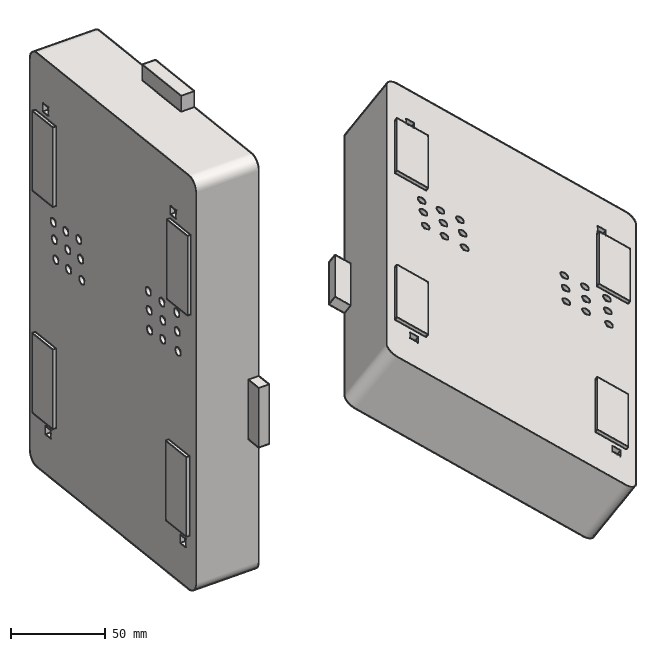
import cadquery as cq

BOX_WIDTH = 160.0
BOX_DEPTH = 40.0
BOX_HEIGHT = 260.0
CORNER_RADIUS = 7.0
WALL = 3.0
FRONT_Y = -BOX_DEPTH / 2
BACK_Y = BOX_DEPTH / 2

TAB_REACH = 10.0
TAB_LENGTH = 37.5
TOP_TAB_X = -0.7
TOP_TAB_DEPTH = 8.5
LEFT_TAB_LENGTH = 40.0
SIDE_TAB_Z = -25.0
LEFT_TAB_DEPTH = 6.0
RIGHT_TAB_DEPTH = 6.7

PAD_WIDTH = 20.0
PAD_HEIGHT = 50.0
PAD_THICKNESS = 2.0
LEFT_PAD_X = -64.7
UPPER_RIGHT_PAD_X = 64.8
LOWER_RIGHT_PAD_X = 63.7
UPPER_PAD_Z = 68.5
LOWER_PAD_Z = -71.0
PAD_CENTRES = [
    (LEFT_PAD_X, UPPER_PAD_Z),
    (UPPER_RIGHT_PAD_X, UPPER_PAD_Z),
    (LEFT_PAD_X, LOWER_PAD_Z),
    (LOWER_RIGHT_PAD_X, LOWER_PAD_Z),
]

SQUARE_HOLE_SIDE = 5.25
UPPER_SQUARE_Z = 98.8
LOWER_SQUARE_Z = -102.6
SQUARE_HOLE_CENTRES = [
    (-64.8, UPPER_SQUARE_Z),
    (57.9, UPPER_SQUARE_Z),
    (-62.3, LOWER_SQUARE_Z),
    (67.4, LOWER_SQUARE_Z),
]

VENT_DIAMETER = 5.0
LEFT_VENT_CENTRES = [
    (-57.5, 31.8), (-45.4, 32.4), (-32.9, 33.9),
    (-56.3, 21.5), (-43.5, 21.9), (-31.2, 22.5),
    (-54.9, 9.6), (-42.8, 9.9), (-29.9, 9.9),
]
RIGHT_VENT_CENTRES = [
    (33.9, 36.5), (47.1, 36.7), (61.3, 37.5),
    (34.8, 25.1), (47.9, 25.6), (61.8, 26.0),
    (35.2, 12.8), (47.9, 13.8), (62.6, 13.9),
]


def box_between(x_range, y_range, z_range):
    """Rectangular block spanning the given (low, high) ranges."""
    size_x = x_range[1] - x_range[0]
    size_y = y_range[1] - y_range[0]
    size_z = z_range[1] - z_range[0]
    block = cq.Workplane("XY").box(size_x, size_y, size_z, centered=False)
    return block.translate((x_range[0], y_range[0], z_range[0]))


def span(centre, length):
    """(low, high) range of the given length around a centre."""
    return (centre - length / 2, centre + length / 2)


def front_plane(y):
    """Sketch plane at the given Y whose local axes are X and Z and whose normal is -Y."""
    return cq.Workplane("XZ", origin=(0, y, 0))


def make_tray():
    """Rounded box hollowed from the back, leaving an even wall and front face."""
    outer = cq.Workplane("XY").box(BOX_WIDTH, BOX_DEPTH, BOX_HEIGHT)
    outer = outer.edges("|Y").fillet(CORNER_RADIUS)
    return outer.faces(">Y").shell(-WALL)


def make_tabs():
    """Top, left and right tabs, each standing on the outside of its wall."""
    half_width = BOX_WIDTH / 2
    half_height = BOX_HEIGHT / 2
    top = box_between(
        span(TOP_TAB_X, TAB_LENGTH),
        (BACK_Y - TOP_TAB_DEPTH, BACK_Y),
        (half_height, half_height + TAB_REACH),
    )
    left = box_between(
        (-half_width - TAB_REACH, -half_width),
        (BACK_Y - LEFT_TAB_DEPTH, BACK_Y),
        span(SIDE_TAB_Z, LEFT_TAB_LENGTH),
    )
    right = box_between(
        (half_width, half_width + TAB_REACH),
        (BACK_Y - RIGHT_TAB_DEPTH, BACK_Y),
        span(SIDE_TAB_Z, TAB_LENGTH),
    )
    return [top, left, right]


def make_pads():
    """Thin rectangular pads standing proud of the front face."""
    pads = front_plane(FRONT_Y).pushPoints(PAD_CENTRES)
    return pads.rect(PAD_WIDTH, PAD_HEIGHT).extrude(PAD_THICKNESS)


def make_square_holes():
    """Square cutters through the front face."""
    cutters = front_plane(FRONT_Y + WALL).pushPoints(SQUARE_HOLE_CENTRES)
    return cutters.rect(SQUARE_HOLE_SIDE, SQUARE_HOLE_SIDE).extrude(WALL)


def make_vents():
    """Round cutters through the front face."""
    cutters = front_plane(FRONT_Y + WALL).pushPoints(LEFT_VENT_CENTRES + RIGHT_VENT_CENTRES)
    return cutters.circle(VENT_DIAMETER / 2).extrude(WALL)


part = make_tray()
for tab in make_tabs():
    part = part.union(tab)
part = part.union(make_pads())
part = part.cut(make_square_holes())
result = part.cut(make_vents())